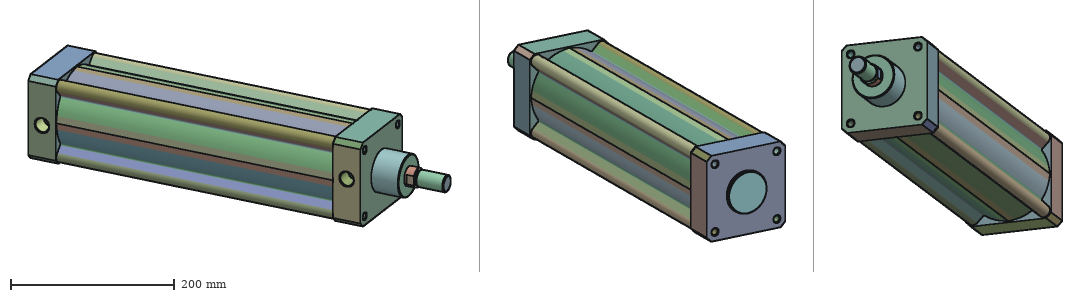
import cadquery as cq
import math


total_length = 553.0
rear_boss_length = 4.5
head_thickness = 38.0
barrel_length = 381.5
front_boss_length = 37.5

rear_head_x = rear_boss_length
barrel_x = rear_head_x + head_thickness
front_head_x = barrel_x + barrel_length
front_face_x = front_head_x + head_thickness
front_boss_end_x = front_face_x + front_boss_length

head_width = 112.0
head_chamfer = 6.5
boss_radius = 27.5
boss_chamfer = 1.0
port_diameter = 18.0
port_mouth_diameter = 20.5
port_depth = 22.0
port_offset = 6.0
bolt_offset = 44.0
bolt_diameter = 8.5
bolt_mouth_diameter = 10.5
bolt_depth = 22.0

tube_diameter = 108.0
tube_radius = tube_diameter / 2
ridge_width = 18.0
lobe_span = 109.0
lobe_width = 16.0
lobe_radius = lobe_width / 2
lobe_root_fillet = 1.95
selection_tolerance = 0.05

rod_radius = 12.5
shoulder_length = 3.0
shoulder_end_x = front_boss_end_x + shoulder_length
flats_width = 22.0
flats_length = 10.0
flats_end_x = shoulder_end_x + flats_length
thread_length = 38.0
thread_x = total_length - thread_length
thread_radius = 11.0
thread_chamfer = 1.4
neck_radius = thread_radius - thread_chamfer


def x_cylinder(start_x, length, radius):
    """Cylinder on the X axis, starting at start_x and growing towards +X."""
    return cq.Workplane("YZ", origin=(start_x, 0, 0)).circle(radius).extrude(length)


def head_block(start_x):
    """Square head with its four long edges chamfered."""
    block = cq.Workplane("YZ", origin=(start_x, 0, 0)).rect(head_width, head_width)
    return block.extrude(head_thickness).edges("|X").chamfer(head_chamfer)


def countersunk_hole(diameter, mouth_diameter, depth):
    """Cutter for a blind hole running from the origin along +X, with a 45 degree mouth."""
    radius = diameter / 2
    mouth_radius = mouth_diameter / 2
    profile = [
        (0, 0),
        (0, mouth_radius),
        (mouth_radius - radius, radius),
        (depth, radius),
        (depth, 0),
    ]
    return cq.Workplane("XY").polyline(profile).close().revolve(360, (0, 0, 0), (1, 0, 0))


def port(head_x, z):
    """Air port bored into the -Y side at mid thickness of a head."""
    hole = countersunk_hole(port_diameter, port_mouth_diameter, port_depth)
    hole = hole.rotate((0, 0, 0), (0, 0, 1), 90)
    return hole.translate((head_x + head_thickness / 2, -head_width / 2, z))


def cut_bolt_holes(head, face_x, turn):
    """Cut four corner holes into the face at face_x; a turn of 180 points them towards -X."""
    hole = countersunk_hole(bolt_diameter, bolt_mouth_diameter, bolt_depth)
    hole = hole.rotate((0, 0, 0), (0, 0, 1), turn)
    for y in (-bolt_offset, bolt_offset):
        for z in (-bolt_offset, bolt_offset):
            head = head.cut(hole.translate((face_x, y, z)))
    return head


def make_rear_head():
    """Head with a low boss on its outer face."""
    boss = x_cylinder(0, rear_boss_length, boss_radius).faces("<X").chamfer(boss_chamfer)
    head = head_block(rear_head_x).union(boss)
    head = head.cut(port(rear_head_x, -port_offset))
    return cut_bolt_holes(head, rear_head_x, 0)


def make_front_head():
    """Head with a long boss, bored through for the rod."""
    boss = x_cylinder(front_face_x, front_boss_length, boss_radius).faces(">X").chamfer(boss_chamfer)
    rod_bore = x_cylinder(front_head_x, head_thickness + front_boss_length, rod_radius)
    head = head_block(front_head_x).union(boss).cut(rod_bore)
    head = head.cut(port(front_head_x, port_offset))
    return cut_bolt_holes(head, front_face_x, 180)


def ridge(angle):
    """Shallow roof-shaped ridge whose two flat sides run tangent to the tube."""
    half_width = ridge_width / 2
    tangent_height = math.sqrt(tube_radius**2 - half_width**2)
    apex_height = tube_radius**2 / tangent_height
    outline = [
        (0, 0),
        (half_width, tangent_height),
        (0, apex_height),
        (-half_width, tangent_height),
    ]
    prism = cq.Workplane("YZ", origin=(barrel_x, 0, 0)).polyline(outline).close().extrude(barrel_length)
    return prism.rotate((0, 0, 0), (1, 0, 0), angle)


def lobe_pair(angle):
    """Two opposite radial lobes with round tips, built as one slot across the tube."""
    tip_radius = math.sqrt(2) * (lobe_span / 2 - lobe_radius) + lobe_radius
    slot = cq.Workplane("YZ", origin=(barrel_x, 0, 0)).slot2D(2 * tip_radius, lobe_width, angle)
    return slot.extrude(barrel_length)


def is_lobe_root(edge):
    """True for the long inner corners where the flat lobe sides meet the tube."""
    middle = edge.Center()
    on_tube = abs(math.hypot(middle.y, middle.z) - tube_radius) < selection_tolerance
    distance_to_diagonal = abs(abs(middle.y) - abs(middle.z)) / math.sqrt(2)
    return on_tube and abs(distance_to_diagonal - lobe_radius) < selection_tolerance


def make_barrel():
    """Tube with a lobe on each diagonal and a ridge along the middle of each side."""
    barrel = x_cylinder(barrel_x, barrel_length, tube_radius)
    for angle in (45, 135):
        barrel = barrel.union(lobe_pair(angle))
    for angle in (0, 90, 180, 270):
        barrel = barrel.union(ridge(angle))
    roots = barrel.edges("|X").filter(is_lobe_root)
    return barrel.newObject(roots.vals()).fillet(lobe_root_fillet)


def make_rod():
    """Rod from the barrel end face outwards: shank, wrench flats, neck and thread."""
    shank = x_cylinder(front_head_x, shoulder_end_x - front_head_x, rod_radius)
    flats_outline = cq.Workplane("YZ", origin=(shoulder_end_x, 0, 0)).rect(flats_width, 2 * rod_radius)
    flats = x_cylinder(shoulder_end_x, flats_length, rod_radius)
    flats = flats.intersect(flats_outline.extrude(flats_length))
    neck = x_cylinder(flats_end_x, thread_x - flats_end_x, neck_radius)
    thread = x_cylinder(thread_x, thread_length, thread_radius)
    thread = thread.faces("<X or >X").chamfer(thread_chamfer)
    return shank.union(flats).union(neck).union(thread)


rear_head = make_rear_head()
barrel = make_barrel()
front_head = make_front_head()
rod = make_rod()

result = cq.Compound.makeCompound([rear_head.val(), barrel.val(), front_head.val(), rod.val()])